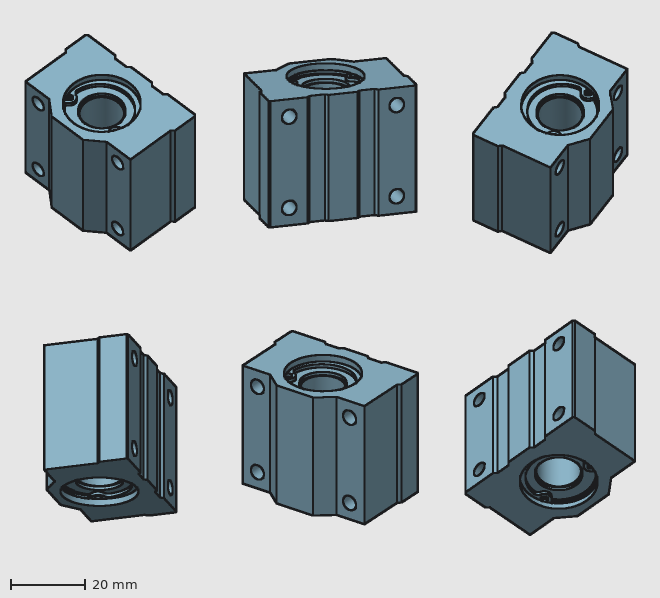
import cadquery as cq
import math

LENGTH = 36.0
HALF_WIDTH = 21.0
WAIST_HALF_WIDTH = 20.15
BACK_Y = 15.0
WAIST_STEP = HALF_WIDTH - WAIST_HALF_WIDTH
WAIST_TOP_Y = 6.15
SHOULDER_Y = -9.05
NOSE_Y = -13.0
NOSE_BASE_HALF_WIDTH = 11.0
NOSE_TIP_HALF_WIDTH = 6.0
CORNER_CHAMFER = 0.4

GROOVE_X = 7.05
GROOVE_WIDTH = 5.95
GROOVE_DEPTH = 0.85

HOLE_DIAMETER = 4.1
HOLE_FRONT_DIAMETER = 4.3
HOLE_FRONT_DEPTH = 12.0
HOLE_SPACING_X = 30.5
HOLE_SPACING_Z = 26.0

BEARING_DIAMETER = 21.0
BEARING_LENGTH = 30.0
BEARING_BORE = 12.0
BEARING_CHAMFER = 0.5
RECESS_DIAMETER = 12.8
RECESS_DEPTH = 1.0

RING_DIAMETER = 22.0
RING_THICKNESS = 1.0
RING_INNER_DIAMETER = 18.9
RING_INNER_OFFSET = 0.67
EAR_X = 9.0
EAR_Y = -3.4
EAR_RADIUS = 2.0
EAR_HOLE_DIAMETER = 2.0
EAR_END_ANGLE = 45.0
EAR_BLEND_RADIUS = 1.45

BEARING_TOP = BEARING_LENGTH / 2


def disc(diameter, height, bottom_z):
    """Solid cylinder on the bearing axis."""
    return cq.Workplane("XY", origin=(0, 0, bottom_z)).circle(diameter / 2).extrude(height)


def make_block():
    """Extruded outline with a stepped waist and a tapered nose."""
    right_side = [
        (HALF_WIDTH - CORNER_CHAMFER, BACK_Y),
        (HALF_WIDTH, BACK_Y - CORNER_CHAMFER),
        (HALF_WIDTH, WAIST_TOP_Y + WAIST_STEP),
        (WAIST_HALF_WIDTH, WAIST_TOP_Y),
        (WAIST_HALF_WIDTH, SHOULDER_Y),
        (NOSE_BASE_HALF_WIDTH, SHOULDER_Y),
        (NOSE_TIP_HALF_WIDTH, NOSE_Y),
    ]
    left_side = [(-x, y) for x, y in reversed(right_side)]
    block = cq.Workplane("XY").polyline(right_side + left_side).close()
    return block.extrude(LENGTH / 2, both=True)


def make_back_groove(center_x):
    """Trapezoidal bar, with 45 degree flanks, to cut from the back face."""
    half_top = GROOVE_WIDTH / 2
    half_floor = half_top - GROOVE_DEPTH
    floor_y = BACK_Y - GROOVE_DEPTH
    outline = [
        (center_x - half_top, BACK_Y),
        (center_x - half_floor, floor_y),
        (center_x + half_floor, floor_y),
        (center_x + half_top, BACK_Y),
    ]
    return cq.Workplane("XY").polyline(outline).close().extrude(LENGTH / 2, both=True)


def make_mounting_holes(diameter, depth):
    """Four cylinders to cut, running along +Y from the shoulder faces."""
    plane = cq.Workplane("XZ", origin=(0, SHOULDER_Y, 0))
    return plane.rarray(HOLE_SPACING_X, HOLE_SPACING_Z, 2, 2).circle(diameter / 2).extrude(-depth)


def make_housing():
    housing = make_block()
    for center_x in (-GROOVE_X, GROOVE_X):
        housing = housing.cut(make_back_groove(center_x))

    housing = housing.cut(make_mounting_holes(HOLE_DIAMETER, BACK_Y - SHOULDER_Y))
    housing = housing.cut(make_mounting_holes(HOLE_FRONT_DIAMETER, HOLE_FRONT_DEPTH))

    housing = housing.cut(disc(BEARING_DIAMETER, LENGTH, -LENGTH / 2))
    for ring_bottom in (BEARING_TOP, -BEARING_TOP - RING_THICKNESS):
        housing = housing.cut(disc(RING_DIAMETER, RING_THICKNESS, ring_bottom))
    return housing


def make_bearing():
    """Sleeve with chamfered ends and a shallow recess at each end of the bore."""
    bearing = disc(BEARING_DIAMETER, BEARING_LENGTH, -BEARING_TOP)
    bearing = bearing.edges("%CIRCLE").chamfer(BEARING_CHAMFER)
    bearing = bearing.cut(disc(BEARING_BORE, BEARING_LENGTH, -BEARING_TOP))
    for recess_bottom in (BEARING_TOP - RECESS_DEPTH, -BEARING_TOP):
        bearing = bearing.cut(disc(RECESS_DIAMETER, RECESS_DEPTH, recess_bottom))
    return bearing


def ear_blend_point():
    """Point on the right where the ear circle meets the inner edge of the ring."""
    inner_radius = RING_INNER_DIAMETER / 2
    ear_drop = EAR_Y + RING_INNER_OFFSET
    distance = math.hypot(EAR_X, ear_drop)
    cosine = (inner_radius**2 + distance**2 - EAR_RADIUS**2) / (2 * inner_radius * distance)
    angle = math.atan2(ear_drop, EAR_X) + math.acos(cosine)
    return inner_radius * math.cos(angle), inner_radius * math.sin(angle) - RING_INNER_OFFSET


def make_ring(bottom_z):
    """Open retaining ring whose two ears have plier holes."""
    plane = cq.Workplane("XY", origin=(0, 0, bottom_z))
    ear_centers = [(-EAR_X, EAR_Y), (EAR_X, EAR_Y)]
    end_angle = math.radians(EAR_END_ANGLE)
    end_run = RING_DIAMETER * math.cos(end_angle)
    end_drop = RING_DIAMETER * math.sin(end_angle)
    tangent_x = EAR_X - EAR_RADIUS * math.sin(end_angle)
    tangent_y = EAR_Y - EAR_RADIUS * math.cos(end_angle)

    opening = [
        (-tangent_x, tangent_y),
        (-tangent_x - end_run, tangent_y - end_drop),
        (tangent_x + end_run, tangent_y - end_drop),
        (tangent_x, tangent_y),
    ]
    right_tail = [
        (EAR_X, EAR_Y),
        (tangent_x, tangent_y),
        (tangent_x + end_run, tangent_y - end_drop),
        (EAR_X + end_run, EAR_Y - end_drop),
    ]
    outer = disc(RING_DIAMETER, RING_THICKNESS, bottom_z)
    inner = plane.center(0, -RING_INNER_OFFSET).circle(RING_INNER_DIAMETER / 2).extrude(RING_THICKNESS)
    gap = plane.polyline(opening).close().extrude(RING_THICKNESS)
    ears = plane.pushPoints(ear_centers).circle(EAR_RADIUS).extrude(RING_THICKNESS)
    tail = plane.polyline(right_tail).close().extrude(RING_THICKNESS)
    ears = ears.union(tail).union(tail.mirror("YZ"))
    ring = outer.cut(inner.union(gap).cut(ears))

    blend_x, blend_y = ear_blend_point()
    mid_z = bottom_z + RING_THICKNESS / 2
    for x in (-blend_x, blend_x):
        ring = ring.edges(cq.NearestToPointSelector((x, blend_y, mid_z))).fillet(EAR_BLEND_RADIUS)

    ear_holes = plane.pushPoints(ear_centers).circle(EAR_HOLE_DIAMETER / 2).extrude(RING_THICKNESS)
    return ring.cut(ear_holes)


housing = make_housing()
bearing = make_bearing()
rings = [make_ring(bottom_z) for bottom_z in (-BEARING_TOP - RING_THICKNESS, BEARING_TOP)]

solids = [body.solids().val() for body in (housing, bearing, *rings)]
result = cq.Compound.makeCompound(solids)